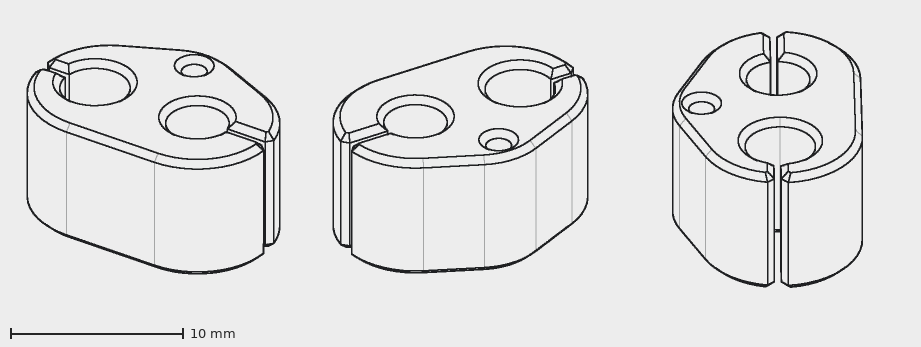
import cadquery as cq
import math

height = 8.0
edge_chamfer = 0.4
side_radius = 4.8
side_center_x = 3.0
crown_radius = 4.2
crown_top_y = 6.2
large_bore_diameter = 4.1
large_bore_x = -4.0
small_bore_diameter = 3.69
pin_hole_diameter = 1.5
pin_hole_y = 4.5
slot_width = 0.4

crown_center_y = crown_top_y - crown_radius
center_distance = math.hypot(side_center_x, crown_center_y)
flank_angle = math.acos((side_radius - crown_radius) / center_distance) - math.atan2(
    side_center_x, crown_center_y
)


def arc_point(center_x, center_y, radius, angle):
    """Point on an arc, with the angle measured from +Y towards +X."""
    return (center_x + radius * math.sin(angle), center_y + radius * math.cos(angle))


def make_body():
    """Prism with a flat base edge, two rounded ends, sloped flanks and a crown."""
    middle_angle = (flank_angle + math.pi) / 2
    right_flank_end = arc_point(side_center_x, 0, side_radius, flank_angle)
    right_middle = arc_point(side_center_x, 0, side_radius, middle_angle)
    left_flank_end = arc_point(-side_center_x, 0, side_radius, -flank_angle)
    left_middle = arc_point(-side_center_x, 0, side_radius, -middle_angle)
    crown_right = arc_point(0, crown_center_y, crown_radius, flank_angle)
    crown_left = arc_point(0, crown_center_y, crown_radius, -flank_angle)
    return (
        cq.Workplane("XY")
        .moveTo(-side_center_x, -side_radius)
        .lineTo(side_center_x, -side_radius)
        .threePointArc(right_middle, right_flank_end)
        .lineTo(*crown_right)
        .threePointArc((0, crown_top_y), crown_left)
        .lineTo(*left_flank_end)
        .threePointArc(left_middle, (-side_center_x, -side_radius))
        .close()
        .extrude(height)
    )


def cut_slot(body, bore_x):
    """Slot from a bore centre out through the nearer end of the body."""
    outer_x = math.copysign(side_center_x + 2 * side_radius, bore_x)
    slot = (
        cq.Workplane("XY")
        .moveTo(bore_x, 0)
        .lineTo(outer_x, 0)
        .lineTo(outer_x, slot_width)
        .lineTo(bore_x, slot_width)
        .close()
        .extrude(height)
    )
    return body.cut(slot)


def chamfer_slot_mouths(body):
    """Bevel the upright edges where the slots break through the ends."""
    mouth_depth = side_radius / 10
    mouth_x = side_center_x + side_radius
    mouth_boxes = [
        cq.selectors.BoxSelector(
            (side * mouth_x - mouth_depth, -slot_width / 2, 0),
            (side * mouth_x + mouth_depth, 1.5 * slot_width, height),
        )
        for side in (-1, 1)
    ]
    return body.edges("|Z").edges(mouth_boxes[0] + mouth_boxes[1]).chamfer(edge_chamfer)


def cut_hole(body, x, y, diameter):
    """Round hole through the full height."""
    return body.cut(cq.Workplane("XY").center(x, y).circle(diameter / 2).extrude(height))


bores = [(large_bore_x, large_bore_diameter), (side_center_x, small_bore_diameter)]

result = make_body()
for bore_x, _ in bores:
    result = cut_slot(result, bore_x)
result = chamfer_slot_mouths(result)
for bore_x, bore_diameter in bores:
    result = cut_hole(result, bore_x, 0, bore_diameter)
result = cut_hole(result, 0, pin_hole_y, pin_hole_diameter)

result = result.faces("<Z or >Z").edges().chamfer(edge_chamfer)